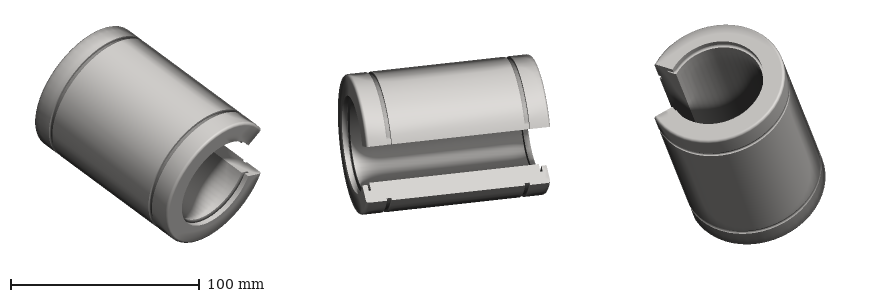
import cadquery as cq
import math

length = 100.0
outer_radius = 37.5
bore_radius = 25.0
edge_round = 1.5
recess_radius = 26.2
recess_depth = 4.0
seal_groove_radius = 30.0
seal_groove_width = 1.2
groove_radius = 36.0
groove_width = 2.6
groove_span = 77.6
cut_margin = 1.0
slot_half_angle = math.radians(27.0)


def tube(outer, inner, start, width):
    """Ring around the X axis, beginning at X = start."""
    return cq.Workplane("YZ", origin=(start, 0, 0)).circle(outer).circle(inner).extrude(width)


sleeve = cq.Workplane("YZ").circle(outer_radius).extrude(length)
sleeve = sleeve.translate((-length / 2, 0, 0)).faces("<X or >X").edges().fillet(edge_round)
bore = cq.Workplane("YZ", origin=(-length / 2, 0, 0)).circle(bore_radius).extrude(length)
sleeve = sleeve.cut(bore)

for start in (-length / 2, length / 2 - recess_depth):
    sleeve = sleeve.cut(tube(recess_radius, bore_radius, start, recess_depth))
shoulder = length / 2 - recess_depth
for start in (-shoulder - seal_groove_width, shoulder):
    sleeve = sleeve.cut(tube(seal_groove_radius, bore_radius, start, seal_groove_width))

for start in (-groove_span / 2, groove_span / 2 - groove_width):
    sleeve = sleeve.cut(tube(outer_radius + cut_margin, groove_radius, start, groove_width))

wedge_reach = 2 * outer_radius
wedge_half_height = wedge_reach * math.tan(slot_half_angle)
wedge = (
    cq.Workplane("YZ", origin=(-length / 2, 0, 0))
    .polyline([(0, 0), (wedge_reach, -wedge_half_height), (wedge_reach, wedge_half_height)])
    .close()
    .extrude(length)
)
result = sleeve.cut(wedge)